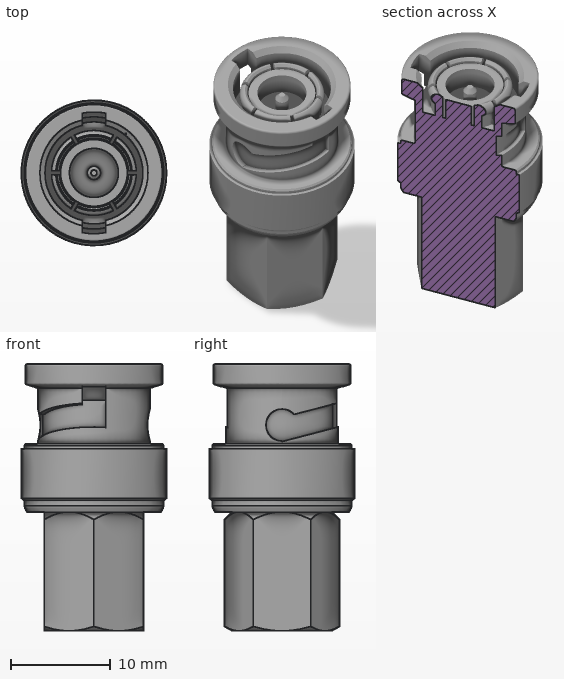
import cadquery as cq
import math

HEIGHT = 26.8
COLLAR_BOTTOM_Z = 11.93
COLLAR_TOP_Z = 18.75
CAVITY_FLOOR_Z = 23.15
NECK_TOP_Z = 24.35

HEX_FLATS = 10.0
HEX_CORNER_RADIUS = HEX_FLATS / math.sqrt(3)
HEX_TURN = 30.0
HEX_END_RADIUS = HEX_FLATS / 2
HEX_END_CHAMFER_ANGLE = 30.0
HEX_TOP_CHAMFER = 0.75

COLLAR_DIAMETER = 14.6
COLLAR_RADIUS = COLLAR_DIAMETER / 2
COLLAR_STEP_RADIUS = 7.02
COLLAR_TOP_STEP = 0.48
COLLAR_TOP_CHAMFER = 0.15
COLLAR_WIDE_BOTTOM_Z = 13.32
COLLAR_WIDE_CHAMFER = 0.21
COLLAR_TAPER_TOP_Z = 12.57
COLLAR_TAPER_BREAK_Z = 12.33
COLLAR_TAPER_BREAK_RADIUS = 6.95
COLLAR_END_RADIUS = 6.73

NECK_RADIUS = 5.63
NECK_FILLET = 0.15
HEAD_RADIUS = 6.9
HEAD_BOTTOM_Z = 24.75
HEAD_FILLET = 0.21

BORE_DIAMETER = 9.84
BORE_RADIUS = BORE_DIAMETER / 2
FUNNEL_DEPTH = 0.5

SLOT_FLOOR_RADIUS = 5.12
ENTRY_WIDTH = 2.33
ENTRY_RADIUS = 6.1
LOCK_HOLE_Z = 20.65
LOCK_HOLE_RADIUS = 1.6
RAMP_SLOPE = 0.26
RAMP_TOP_START_Z = 21.4
RAMP_BOTTOM_START_Z = LOCK_HOLE_Z - LOCK_HOLE_RADIUS * math.hypot(1, RAMP_SLOPE)

RING_RADIUS = 4.25
RING_ROOT_RADIUS = 3.97
RING_TOP_Z = 26.0
RING_BULGE_HEIGHT = 1.35
RING_CREST_OUTER_RADIUS = 3.83
RING_CREST_INNER_RADIUS = 3.7
RING_INNER_RADIUS = 3.48
RING_SLIT_WIDTH = 0.4
RING_SLIT_COUNT = 6

INSULATOR_RADIUS = 3.35
INSULATOR_TOP_Z = 25.6
INSULATOR_BORE_RADIUS = 2.47
INSULATOR_FLOOR_Z = 23.25
PIN_RADIUS = 0.67
PIN_TIP_RADIUS = 0.3
PIN_SHOULDER_Z = 24.85
PIN_TOP_Z = 25.33


def revolve_profile(points):
    """Revolve a closed (radius, z) outline about the Z axis."""
    return cq.Workplane("XZ").polyline(points).close().revolve(360, (0, 0), (0, 1))


def cylinder(radius, bottom_z, top_z):
    """Solid cylinder on the Z axis between two levels."""
    return cq.Workplane("XY").workplane(offset=bottom_z).circle(radius).extrude(top_z - bottom_z)


def hex_body():
    """Hexagon with flats facing +X and -X, turned down conically at both ends."""
    prism = (
        cq.Workplane("XY")
        .polygon(6, 2 * HEX_CORNER_RADIUS)
        .extrude(COLLAR_BOTTOM_Z)
        .rotate((0, 0, 0), (0, 0, 1), HEX_TURN)
    )
    end_chamfer = (HEX_CORNER_RADIUS - HEX_END_RADIUS) * math.tan(math.radians(HEX_END_CHAMFER_ANGLE))
    envelope = revolve_profile([
        (0, 0),
        (HEX_END_RADIUS, 0),
        (HEX_CORNER_RADIUS, end_chamfer),
        (HEX_CORNER_RADIUS, COLLAR_BOTTOM_Z - HEX_TOP_CHAMFER),
        (HEX_CORNER_RADIUS - HEX_TOP_CHAMFER, COLLAR_BOTTOM_Z),
        (0, COLLAR_BOTTOM_Z),
    ])
    return prism.intersect(envelope)


def collar():
    """Wide grip band between two narrower steps, tapered in towards the hexagon."""
    return revolve_profile([
        (0, COLLAR_BOTTOM_Z),
        (COLLAR_END_RADIUS, COLLAR_BOTTOM_Z),
        (COLLAR_TAPER_BREAK_RADIUS, COLLAR_TAPER_BREAK_Z),
        (COLLAR_STEP_RADIUS, COLLAR_TAPER_TOP_Z),
        (COLLAR_STEP_RADIUS, COLLAR_WIDE_BOTTOM_Z - COLLAR_WIDE_CHAMFER),
        (COLLAR_RADIUS, COLLAR_WIDE_BOTTOM_Z),
        (COLLAR_RADIUS, COLLAR_TOP_Z - COLLAR_TOP_STEP),
        (COLLAR_STEP_RADIUS, COLLAR_TOP_Z - COLLAR_TOP_STEP),
        (COLLAR_STEP_RADIUS, COLLAR_TOP_Z - COLLAR_TOP_CHAMFER),
        (COLLAR_STEP_RADIUS - COLLAR_TOP_CHAMFER, COLLAR_TOP_Z),
        (0, COLLAR_TOP_Z),
    ])


def neck_and_head():
    """Bayonet sleeve: neck with a foot fillet, flared head and funnelled bore."""
    foot_arc_mid = NECK_FILLET * (1 - math.sqrt(0.5))
    outer = (
        cq.Workplane("XZ")
        .moveTo(0, COLLAR_TOP_Z)
        .lineTo(NECK_RADIUS + NECK_FILLET, COLLAR_TOP_Z)
        .threePointArc(
            (NECK_RADIUS + foot_arc_mid, COLLAR_TOP_Z + foot_arc_mid),
            (NECK_RADIUS, COLLAR_TOP_Z + NECK_FILLET),
        )
        .lineTo(NECK_RADIUS, NECK_TOP_Z)
        .lineTo(HEAD_RADIUS, HEAD_BOTTOM_Z)
        .lineTo(HEAD_RADIUS, HEIGHT)
        .lineTo(0, HEIGHT)
        .close()
        .revolve(360, (0, 0), (0, 1))
    )
    rim_edges = cq.selectors.RadiusNthSelector(-1)
    outer = outer.edges(rim_edges).fillet(HEAD_FILLET)
    bore = revolve_profile([
        (0, CAVITY_FLOOR_Z),
        (BORE_RADIUS, CAVITY_FLOOR_Z),
        (BORE_RADIUS, HEIGHT - FUNNEL_DEPTH),
        (BORE_RADIUS + FUNNEL_DEPTH, HEIGHT),
        (0, HEIGHT),
    ])
    return outer.cut(bore)


def bayonet_slot():
    """Slot entering on the -Y side and ramping down to a lock hole on the -X side."""
    groove_ring = cylinder(ENTRY_RADIUS, COLLAR_TOP_Z, HEIGHT).cut(
        cylinder(SLOT_FLOOR_RADIUS, COLLAR_TOP_Z, CAVITY_FLOOR_Z)
    )
    entry = cq.Workplane("XY").box(
        ENTRY_WIDTH, ENTRY_RADIUS, HEIGHT - RAMP_TOP_START_Z, centered=(True, False, False)
    ).translate((0, -ENTRY_RADIUS, RAMP_TOP_START_Z))

    ramp_rise = RAMP_SLOPE * ENTRY_RADIUS
    ramp = (
        cq.Workplane("YZ", origin=(ENTRY_WIDTH / 2, 0, 0))
        .polyline([
            (0, RAMP_BOTTOM_START_Z),
            (-ENTRY_RADIUS, RAMP_BOTTOM_START_Z + ramp_rise),
            (-ENTRY_RADIUS, RAMP_TOP_START_Z + ramp_rise),
            (0, RAMP_TOP_START_Z),
        ])
        .close()
        .extrude(-ENTRY_RADIUS - ENTRY_WIDTH / 2)
    )
    lock_hole = (
        cq.Workplane("YZ").center(0, LOCK_HOLE_Z).circle(LOCK_HOLE_RADIUS).extrude(-ENTRY_RADIUS)
    )
    return entry.union(ramp).union(lock_hole).intersect(groove_ring)


def contact_ring():
    """Bulged spring ring around the insulator, split by radial slits."""
    inner_chamfer = RING_CREST_INNER_RADIUS - RING_INNER_RADIUS
    bulge_bottom_z = RING_TOP_Z - RING_BULGE_HEIGHT
    ring = (
        cq.Workplane("XZ")
        .moveTo(RING_INNER_RADIUS, CAVITY_FLOOR_Z)
        .lineTo(RING_ROOT_RADIUS, CAVITY_FLOOR_Z)
        .lineTo(RING_ROOT_RADIUS, bulge_bottom_z)
        .threePointArc(
            (RING_RADIUS, bulge_bottom_z + RING_BULGE_HEIGHT / 2),
            (RING_CREST_OUTER_RADIUS, RING_TOP_Z),
        )
        .lineTo(RING_CREST_INNER_RADIUS, RING_TOP_Z)
        .lineTo(RING_INNER_RADIUS, RING_TOP_Z - inner_chamfer)
        .close()
        .revolve(360, (0, 0), (0, 1))
    )
    for index in range(RING_SLIT_COUNT):
        slit = cq.Workplane("XY").box(
            RING_RADIUS, RING_SLIT_WIDTH, RING_TOP_Z - CAVITY_FLOOR_Z, centered=(False, True, False)
        ).translate((INSULATOR_RADIUS, 0, CAVITY_FLOOR_Z))
        ring = ring.cut(slit.rotate((0, 0, 0), (0, 0, 1), index * 360 / RING_SLIT_COUNT))
    return ring


def insulator_and_pin():
    """Insulator with a blind bore and the pointed contact pin standing in it."""
    insulator = cylinder(INSULATOR_RADIUS, COLLAR_TOP_Z, INSULATOR_TOP_Z).cut(
        cylinder(INSULATOR_BORE_RADIUS, INSULATOR_FLOOR_Z, INSULATOR_TOP_Z)
    )
    pin = revolve_profile([
        (0, COLLAR_TOP_Z),
        (PIN_RADIUS, COLLAR_TOP_Z),
        (PIN_RADIUS, PIN_SHOULDER_Z),
        (PIN_TIP_RADIUS, PIN_TOP_Z),
        (0, PIN_TOP_Z),
    ])
    return insulator.union(pin)


slot = bayonet_slot()
opposite_slot = slot.rotate((0, 0, 0), (0, 0, 1), 180)
sleeve = neck_and_head().cut(slot).cut(opposite_slot)

result = (
    hex_body()
    .union(collar())
    .union(sleeve)
    .union(contact_ring())
    .union(insulator_and_pin())
)